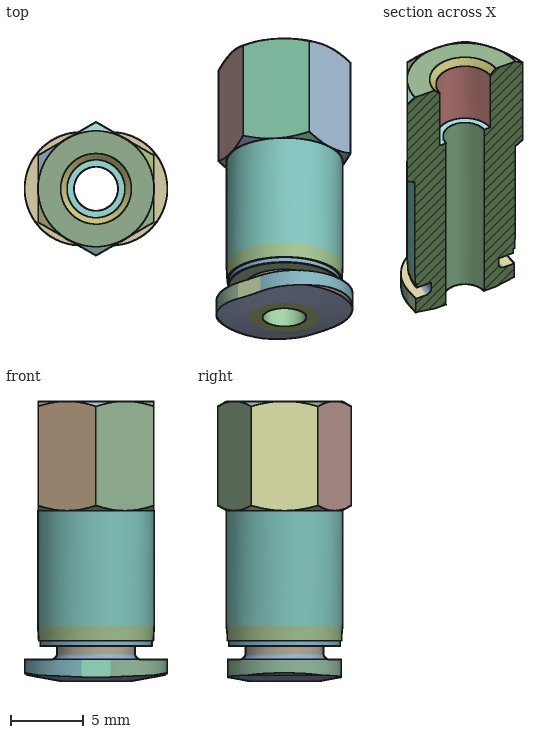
import cadquery as cq
import math

TOTAL_HEIGHT = 19.2
HEX_BOTTOM = 11.7
TAPER_TOP = 3.82
TAPER_BOTTOM = 2.78
BODY_BOTTOM = 2.4
BUTTON_THICKNESS = 1.5

HEX_CORNER_DIAMETER = 9.17
HEX_ACROSS_FLATS = HEX_CORNER_DIAMETER * math.cos(math.radians(30))
HEX_CHAMFER_ANGLE = 30

BODY_DIAMETER = 8.0
TAPER_END_DIAMETER = 7.88
LIP_DIAMETER = 7.68
LIP_END_DIAMETER = 7.6
NECK_DIAMETER = 5.37
NECK_FILLET_RADIUS = 0.4

BUTTON_LENGTH = 9.8
BUTTON_WIDTH = 7.8
BUTTON_FACE_DIAMETER = 4.8
BUTTON_CONE_DIAMETER = 9.4
BUTTON_CONE_HEIGHT = 0.42
BUTTON_EDGE_HEIGHT = 0.58
BUTTON_ENVELOPE_MARGIN = 1.0

THROUGH_DIAMETER = 3.0
COUNTERBORE_DIAMETER = 3.97
COUNTERBORE_DEPTH = 5.0
MOUTH_DIAMETER = 4.85


def revolve_profile(points):
    """Revolve a closed (radius, height) outline around the Z axis."""
    return cq.Workplane("XZ").polyline(points).close().revolve(360, (0, 0), (0, 1))


def make_hexagon():
    """Hexagon with corners on the Y axis, conically chamfered at both ends."""
    height = TOTAL_HEIGHT - HEX_BOTTOM
    corner_radius = HEX_CORNER_DIAMETER / 2
    face_radius = HEX_ACROSS_FLATS / 2
    chamfer = (corner_radius - face_radius) * math.tan(math.radians(HEX_CHAMFER_ANGLE))
    prism = (
        cq.Workplane("XY")
        .workplane(offset=HEX_BOTTOM)
        .polygon(6, HEX_CORNER_DIAMETER)
        .extrude(height)
        .rotate((0, 0, 0), (0, 0, 1), 90)
    )
    envelope = revolve_profile([
        (0, HEX_BOTTOM),
        (face_radius, HEX_BOTTOM),
        (corner_radius, HEX_BOTTOM + chamfer),
        (corner_radius, TOTAL_HEIGHT - chamfer),
        (face_radius, TOTAL_HEIGHT),
        (0, TOTAL_HEIGHT),
    ])
    return prism.intersect(envelope)


def make_body_and_neck():
    """Round body with a tapered lower end and a chamfered lip, on a filleted neck."""
    neck_radius = NECK_DIAMETER / 2
    lip_chamfer = (LIP_DIAMETER - LIP_END_DIAMETER) / 2
    body = revolve_profile([
        (0, HEX_BOTTOM),
        (BODY_DIAMETER / 2, HEX_BOTTOM),
        (BODY_DIAMETER / 2, TAPER_TOP),
        (TAPER_END_DIAMETER / 2, TAPER_BOTTOM),
        (LIP_DIAMETER / 2, TAPER_BOTTOM),
        (LIP_DIAMETER / 2, BODY_BOTTOM + lip_chamfer),
        (LIP_END_DIAMETER / 2, BODY_BOTTOM),
        (0, BODY_BOTTOM),
    ])
    neck = (
        cq.Workplane("XZ")
        .moveTo(0, BODY_BOTTOM)
        .lineTo(neck_radius, BODY_BOTTOM)
        .lineTo(neck_radius, BUTTON_THICKNESS + NECK_FILLET_RADIUS)
        .radiusArc((neck_radius + NECK_FILLET_RADIUS, BUTTON_THICKNESS), -NECK_FILLET_RADIUS)
        .lineTo(0, BUTTON_THICKNESS)
        .close()
        .revolve(360, (0, 0), (0, 1))
    )
    return body.union(neck)


def make_button():
    """Oval button, long along X, with a shallow conical underside."""
    oval = cq.Workplane("XY").slot2D(BUTTON_LENGTH, BUTTON_WIDTH).extrude(BUTTON_THICKNESS)
    cone_radius = BUTTON_CONE_DIAMETER / 2
    edge_slope = (BUTTON_EDGE_HEIGHT - BUTTON_CONE_HEIGHT) / (BUTTON_LENGTH / 2 - cone_radius)
    envelope_radius = BUTTON_LENGTH / 2 + BUTTON_ENVELOPE_MARGIN
    envelope_edge = BUTTON_EDGE_HEIGHT + edge_slope * BUTTON_ENVELOPE_MARGIN
    envelope = revolve_profile([
        (0, 0),
        (BUTTON_FACE_DIAMETER / 2, 0),
        (cone_radius, BUTTON_CONE_HEIGHT),
        (envelope_radius, envelope_edge),
        (envelope_radius, BUTTON_THICKNESS),
        (0, BUTTON_THICKNESS),
    ])
    return oval.intersect(envelope)


def make_bore():
    """Through hole widened from the top by a counterbore with a 45 degree mouth."""
    mouth_depth = (MOUTH_DIAMETER - COUNTERBORE_DIAMETER) / 2
    counterbore_floor = TOTAL_HEIGHT - COUNTERBORE_DEPTH
    return revolve_profile([
        (0, 0),
        (THROUGH_DIAMETER / 2, 0),
        (THROUGH_DIAMETER / 2, counterbore_floor),
        (COUNTERBORE_DIAMETER / 2, counterbore_floor),
        (COUNTERBORE_DIAMETER / 2, TOTAL_HEIGHT - mouth_depth),
        (MOUTH_DIAMETER / 2, TOTAL_HEIGHT),
        (0, TOTAL_HEIGHT),
    ])


result = make_hexagon().union(make_body_and_neck()).union(make_button()).cut(make_bore())